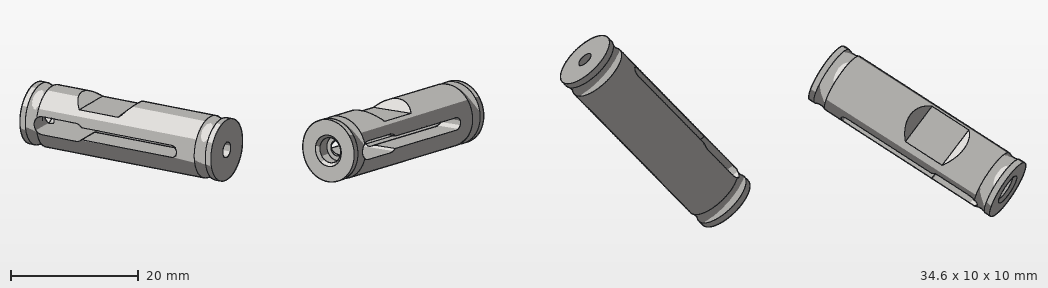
import cadquery as cq

length = 34.6
diameter = 10.0
radius = diameter / 2

collar_width = 1.0
groove_width = 2.0
groove_depth = 0.25

bore_diameter = 2.5
counterbore_diameter = 4.0
counterbore_depth = 2.35
mouth_diameter = 5.0
mouth_chamfer = (mouth_diameter - counterbore_diameter) / 2

wide_slot_width = 3.0
wide_slot_start = 2.5
wide_slot_last_centre = 10.0
narrow_slot_width = 2.0
narrow_slot_end = 28.37

notch_depth = 1.6
notch_floor_start = 10.0
notch_floor_end = 17.02


def grooved_body():
    """Revolved cylinder with an arc-shaped groove at both ends."""
    groove_floor = radius - groove_depth
    near_end = collar_width + groove_width
    far_start = length - near_end
    far_end = length - collar_width
    return (
        cq.Workplane("XY")
        .lineTo(0, radius)
        .lineTo(collar_width, radius)
        .threePointArc((collar_width + groove_width / 2, groove_floor), (near_end, radius))
        .lineTo(far_start, radius)
        .threePointArc((far_start + groove_width / 2, groove_floor), (far_end, radius))
        .lineTo(length, radius)
        .lineTo(length, 0)
        .close()
        .revolve(360, (0, 0, 0), (1, 0, 0))
    )


def stepped_bore():
    """Through bore with a chamfered counterbore at the X = 0 face."""
    return (
        cq.Workplane("XY")
        .lineTo(0, mouth_diameter / 2)
        .lineTo(mouth_chamfer, counterbore_diameter / 2)
        .lineTo(counterbore_depth, counterbore_diameter / 2)
        .lineTo(counterbore_depth, bore_diameter / 2)
        .lineTo(length, bore_diameter / 2)
        .lineTo(length, 0)
        .close()
        .revolve(360, (0, 0, 0), (1, 0, 0))
    )


def round_slot(start, end, width):
    """Round-ended slot through the whole part along Y, from start to end in X."""
    return (
        cq.Workplane("XZ")
        .center((start + end) / 2, 0)
        .slot2D(end - start, width)
        .extrude(radius, both=True)
    )


def keyhole_slot():
    """Wide slot that continues as a narrower one."""
    wide_slot_end = wide_slot_last_centre + wide_slot_width / 2
    wide = round_slot(wide_slot_start, wide_slot_end, wide_slot_width)
    narrow = round_slot(wide_slot_last_centre - narrow_slot_width, narrow_slot_end, narrow_slot_width)
    return wide.union(narrow)


def top_notch():
    """Flat-bottomed notch across the top with 45 degree end faces."""
    floor_height = radius - notch_depth
    return (
        cq.Workplane("XZ")
        .moveTo(notch_floor_start, floor_height)
        .lineTo(notch_floor_end, floor_height)
        .lineTo(notch_floor_end + notch_depth, radius)
        .lineTo(notch_floor_start - notch_depth, radius)
        .close()
        .extrude(radius, both=True)
    )


result = grooved_body().cut(stepped_bore()).cut(keyhole_slot()).cut(top_notch())